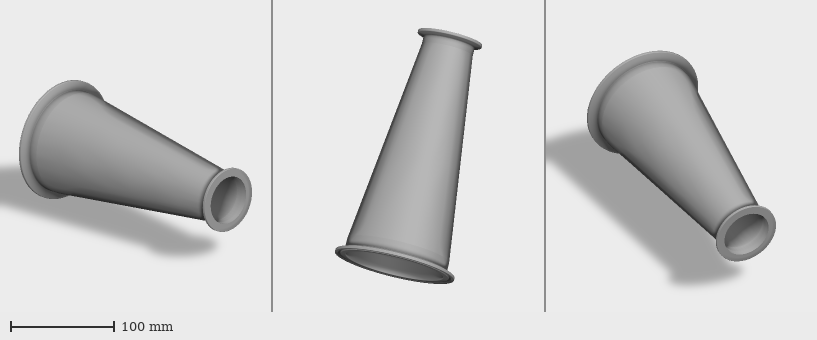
import cadquery as cq
import math

LARGE_TUBE_LENGTH = 15.875
CONE_LENGTH = 203.2
SMALL_TUBE_LENGTH = 12.7
TOTAL_LENGTH = LARGE_TUBE_LENGTH + CONE_LENGTH + SMALL_TUBE_LENGTH

LARGE_FLANGE_DIA = 118.92
LARGE_TUBE_DIA = 101.6
LARGE_BORE_DIA = 97.38
LARGE_GROOVE_DIA = 110.4

SMALL_FLANGE_DIA = 63.91
SMALL_TUBE_DIA = 50.8
SMALL_BORE_DIA = 47.5

RIM_WIDTH = 2.85
FLANGE_BACK_ANGLE = 20.0
RIM_ROUND = 0.8
FLANGE_ROOT_ROUND = 0.8
FACE_EDGE_ROUND = 0.4

GROOVE_WIDTH = 2.8
GROOVE_DEPTH = 1.2
GROOVE_EDGE_ROUND = 0.65


def revolve_about_x(profile):
    """Turn an XY profile, with Y as the radius, into a solid around the X axis."""
    return profile.close().revolve(360, (0, 0, 0), (1, 0, 0))


def flange_back_drop(flange_dia, tube_dia):
    """Axial length of the sloped flange back between its rim and the tube."""
    return (flange_dia - tube_dia) / 2 * math.tan(math.radians(FLANGE_BACK_ANGLE))


def make_body():
    """Outer form of the reducer, solid through the middle."""
    large_root_x = RIM_WIDTH + flange_back_drop(LARGE_FLANGE_DIA, LARGE_TUBE_DIA)
    small_rim_x = TOTAL_LENGTH - RIM_WIDTH
    small_root_x = small_rim_x - flange_back_drop(SMALL_FLANGE_DIA, SMALL_TUBE_DIA)
    profile = (
        cq.Workplane("XY")
        .lineTo(0, LARGE_FLANGE_DIA / 2)
        .lineTo(RIM_WIDTH, LARGE_FLANGE_DIA / 2)
        .lineTo(large_root_x, LARGE_TUBE_DIA / 2)
        .lineTo(LARGE_TUBE_LENGTH, LARGE_TUBE_DIA / 2)
        .lineTo(LARGE_TUBE_LENGTH + CONE_LENGTH, SMALL_TUBE_DIA / 2)
        .lineTo(small_root_x, SMALL_TUBE_DIA / 2)
        .lineTo(small_rim_x, SMALL_FLANGE_DIA / 2)
        .lineTo(TOTAL_LENGTH, SMALL_FLANGE_DIA / 2)
        .lineTo(TOTAL_LENGTH, 0)
    )
    body = revolve_about_x(profile)
    body = round_edge_at(body, RIM_WIDTH, RIM_ROUND)
    body = round_edge_at(body, large_root_x, FLANGE_ROOT_ROUND)
    body = round_edge_at(body, small_root_x, FLANGE_ROOT_ROUND)
    return round_edge_at(body, small_rim_x, RIM_ROUND)


def round_edge_at(body, x, radius):
    """Fillet the circular edge lying in the plane at the given X."""
    half_slice = 0.01
    reach = LARGE_FLANGE_DIA
    edges = body.edges(cq.selectors.BoxSelector(
        (x - half_slice, -reach, -reach),
        (x + half_slice, reach, reach),
    ))
    return edges.fillet(radius)


def round_ring_edges(body, diameter, radius):
    """Fillet the circular edge of the given diameter on the large flange face."""
    tolerance = 0.01
    edges = body.faces("<X").edges("%CIRCLE").filter(
        lambda edge: abs(2 * edge.radius() - diameter) < tolerance
    )
    return body.newObject(edges.vals()).fillet(radius)


def make_bore():
    """Through passage: straight at both ends and tapered along the cone."""
    profile = (
        cq.Workplane("XY")
        .lineTo(0, LARGE_BORE_DIA / 2)
        .lineTo(LARGE_TUBE_LENGTH, LARGE_BORE_DIA / 2)
        .lineTo(LARGE_TUBE_LENGTH + CONE_LENGTH, SMALL_BORE_DIA / 2)
        .lineTo(TOTAL_LENGTH, SMALL_BORE_DIA / 2)
        .lineTo(TOTAL_LENGTH, 0)
    )
    return revolve_about_x(profile)


def make_gasket_groove():
    """Ring with an arc section, cut into the large flange face."""
    mid_radius = LARGE_GROOVE_DIA / 2
    profile = (
        cq.Workplane("XY")
        .moveTo(0, mid_radius - GROOVE_WIDTH / 2)
        .threePointArc((GROOVE_DEPTH, mid_radius), (0, mid_radius + GROOVE_WIDTH / 2))
    )
    return revolve_about_x(profile)


def make_reducer():
    """Hollow reducer with its face edges softened."""
    body = round_edge_at(make_body(), TOTAL_LENGTH, FACE_EDGE_ROUND)
    body = body.cut(make_bore())
    body = round_ring_edges(body, LARGE_FLANGE_DIA, FACE_EDGE_ROUND)
    body = round_ring_edges(body, LARGE_BORE_DIA, FACE_EDGE_ROUND)
    body = body.cut(make_gasket_groove())
    body = round_ring_edges(body, LARGE_GROOVE_DIA - GROOVE_WIDTH, GROOVE_EDGE_ROUND)
    return round_ring_edges(body, LARGE_GROOVE_DIA + GROOVE_WIDTH, GROOVE_EDGE_ROUND)


result = make_reducer()